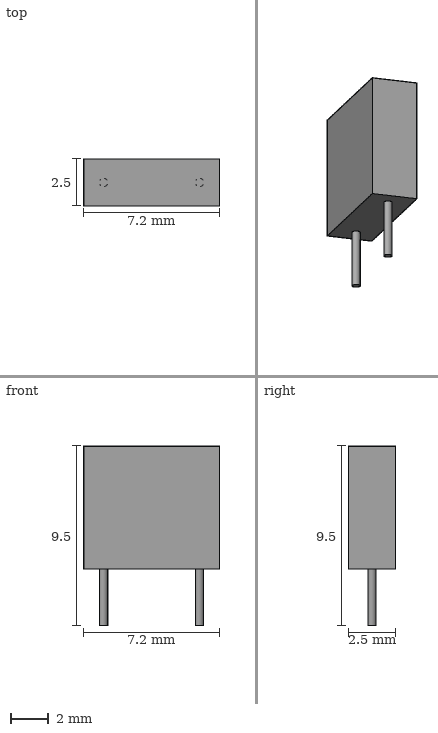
import cadquery as cq

housing_length = 7.2
housing_thickness = 2.5
overall_height = 9.5
lead_length = 3.0
housing_height = overall_height - lead_length

lead_diameter = 0.44
lead_pitch = 5.08


def make_housing():
    """Block centred on the Z axis, with its underside at Z = 0."""
    return cq.Workplane("XY").box(
        housing_length, housing_thickness, housing_height, centered=(True, True, False)
    )


def make_lead(x):
    """Straight wire hanging from the housing underside at the given X."""
    return cq.Workplane("XY").center(x, 0).circle(lead_diameter / 2).extrude(-lead_length)


housing = make_housing()
leads = [make_lead(side * lead_pitch / 2) for side in (-1, 1)]

result = cq.Compound.makeCompound([housing.val(), *[lead.val() for lead in leads]])